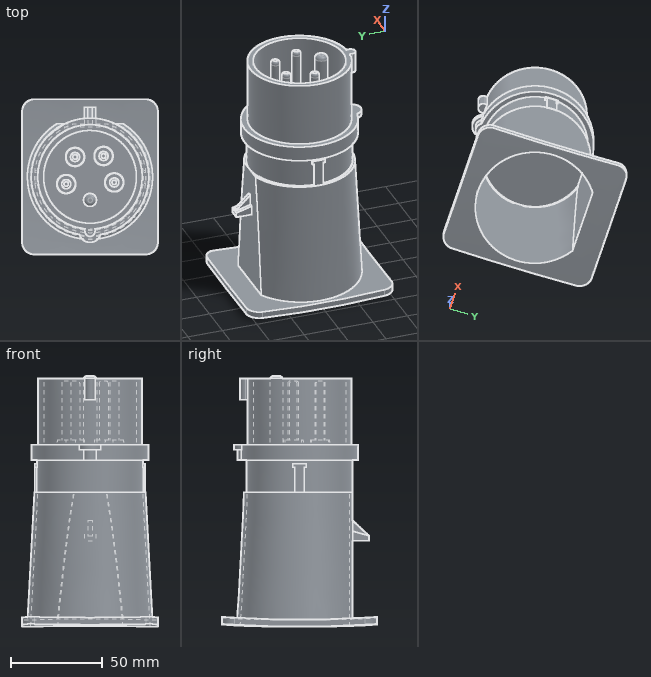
import cadquery as cq
import math

EARTH_PIN_TOP = 136.6
SHROUD_TOP = 135.2
PHASE_PIN_TOP = 134.0
COLLAR_TOP = 99.2
COLLAR_BOTTOM = 90.7
HOUSING_TOP = 73.3
SOCKET_FLOOR = COLLAR_TOP

FLANGE_X = 74.0
FLANGE_Y = 84.5
FLANGE_CORNER_RADIUS = 6.8
FLANGE_THICKNESS = 3.8
DISH_RADIUS_X = 1365.8
DISH_RADIUS_Y = 546.3

TOWER_BASE_RADIUS = 34.3
TOWER_TOP_RADIUS = 30.3
TOWER_WALL = 1.8
TOWER_FOOT = 2.7
NECK_RADIUS = 29.0
TOWER_FLAT_Y = NECK_RADIUS

HOOK_WIDTH = 6.3
HOOK_RIB_WIDTH = 2.3
HOOK_TIP_Y = 37.8
HOOK_BOTTOM = 46.8
HOOK_TIP_TOP = 49.6
HOOK_SIDE_ROOT_TOP = 52.0
HOOK_RIB_ROOT_TOP = 57.9

SHROUD_RADIUS = 28.4
SHROUD_INNER_RADIUS = 25.3
COLLAR_RADIUS = 32.0

LUG_CENTRE_Y = -29.6
KEY_RADIUS = 2.7
KEY_BOTTOM = 123.5
TAB_RADIUS = 6.0
TAB_BOTTOM = 96.3
STOP_RADIUS = 4.1

CLIP_FACE_X = 30.0
CLIP_STEM_WIDTH = 5.2
CLIP_HEAD_WIDTH = 7.2
CLIP_HEAD_TOP = 88.8
CLIP_HEAD_HEIGHT = 1.9

EARTH_PIN_RADIUS = 3.5
EARTH_PIN_Y = -12.5
PHASE_PIN_RADIUS = 2.5
PIN_CIRCLE_RADIUS = 13.5
PHASE_PIN_ANGLES = [-13, 57, 127, 197]
PIN_TIP_RADIUS = 1.2
PIN_ROUND_HEIGHT = 2.0
BOSS_BASE_RADIUS = 5.2
BOSS_TOP_RADIUS = 4.9
BOSS_HEIGHT = 2.7


def cylinder(radius, bottom, top):
    return cq.Workplane("XY").workplane(offset=bottom).circle(radius).extrude(top - bottom)


def cone(bottom_radius, top_radius, bottom, top):
    solid = cq.Solid.makeCone(bottom_radius, top_radius, top - bottom, pnt=cq.Vector(0, 0, bottom))
    return cq.Workplane("XY").add(solid)


def centred_box(x_size, y_size, bottom, top):
    return cq.Workplane("XY").workplane(offset=bottom).rect(x_size, y_size).extrude(top - bottom)


def arc_sag(radius, half_chord):
    """Depth of an arc of the given radius over the given half chord."""
    return radius - math.sqrt(radius**2 - half_chord**2)


def dished_flange():
    """Rounded rectangular plate, curved like a shallow barrel with its lowest point in the middle."""
    half_x = FLANGE_X / 2
    edge_rise = arc_sag(DISH_RADIUS_X, half_x)
    bottom = -arc_sag(DISH_RADIUS_X, TOWER_BASE_RADIUS - TOWER_WALL)
    top = bottom + FLANGE_THICKNESS
    sweep = 2 * math.degrees(math.asin(FLANGE_Y / DISH_RADIUS_Y))
    axis_z = bottom + DISH_RADIUS_Y
    barrel = (
        cq.Workplane("XZ")
        .moveTo(-half_x, bottom + edge_rise)
        .threePointArc((0, bottom), (half_x, bottom + edge_rise))
        .lineTo(half_x, top + edge_rise)
        .threePointArc((0, top), (-half_x, top + edge_rise))
        .close()
        .revolve(sweep, (0, axis_z), (1, axis_z))
        .rotate((0, 0, axis_z), (1, 0, axis_z), -sweep / 2)
    )
    outline = centred_box(FLANGE_X, FLANGE_Y, bottom, 3 * FLANGE_THICKNESS)
    return barrel.intersect(outline.edges("|Z").fillet(FLANGE_CORNER_RADIUS))


def tower_shape(inset, bottom, top):
    """Tapered round tower with a flat back, its whole surface moved inward by inset."""
    def radius_at(z):
        taper = (TOWER_TOP_RADIUS - TOWER_BASE_RADIUS) / HOUSING_TOP
        return TOWER_BASE_RADIUS + taper * z - inset

    flat_y = TOWER_FLAT_Y - inset
    trim_size = 3 * TOWER_BASE_RADIUS
    keep = centred_box(trim_size, trim_size, bottom, top).translate((0, flat_y - trim_size / 2, 0))
    return cone(radius_at(bottom), radius_at(top), bottom, top).intersect(keep)


def hook_plate(width, root_top):
    root_y = TOWER_FLAT_Y - TOWER_WALL / 2
    slope = (root_top - HOOK_TIP_TOP) / (HOOK_TIP_Y - TOWER_FLAT_Y)
    profile = [
        (root_y, HOOK_BOTTOM),
        (HOOK_TIP_Y, HOOK_BOTTOM),
        (HOOK_TIP_Y, HOOK_TIP_TOP),
        (root_y, HOOK_TIP_TOP + slope * (HOOK_TIP_Y - root_y)),
    ]
    return cq.Workplane("YZ").polyline(profile).close().extrude(width / 2, both=True)


def latch_hook():
    sides = hook_plate(HOOK_WIDTH, HOOK_SIDE_ROOT_TOP)
    rib = hook_plate(HOOK_RIB_WIDTH, HOOK_RIB_ROOT_TOP)
    return sides.union(rib)


def make_housing():
    overshoot = 1.4
    cavity = tower_shape(TOWER_WALL, -overshoot, HOUSING_TOP + overshoot)
    return (
        dished_flange()
        .union(tower_shape(0, TOWER_FOOT, HOUSING_TOP))
        .union(latch_hook())
        .cut(cavity)
    )


def front_lug(nose_radius, bottom, top):
    """Straight-sided lug with a half-round nose, running from inside the shell wall to the front."""
    root_y = -(SHROUD_INNER_RADIUS + SHROUD_RADIUS) / 2
    nose = cylinder(nose_radius, bottom, top).translate((0, LUG_CENTRE_Y, 0))
    stem_length = root_y - LUG_CENTRE_Y
    stem = centred_box(2 * nose_radius, stem_length, bottom, top)
    return nose.union(stem.translate((0, LUG_CENTRE_Y + stem_length / 2, 0)))


def side_clips():
    """Stem and head bars that pass through the neck, so that a T stands out on each side."""
    head_bottom = CLIP_HEAD_TOP - CLIP_HEAD_HEIGHT
    stem = centred_box(2 * CLIP_FACE_X, CLIP_STEM_WIDTH, HOUSING_TOP, head_bottom)
    head = centred_box(2 * CLIP_FACE_X, CLIP_HEAD_WIDTH, head_bottom, CLIP_HEAD_TOP)
    return stem.union(head)


def plug_shell():
    recess = cylinder(SHROUD_INNER_RADIUS, SOCKET_FLOOR, SHROUD_TOP)
    return (
        cylinder(NECK_RADIUS, HOUSING_TOP, COLLAR_BOTTOM)
        .union(cylinder(COLLAR_RADIUS, COLLAR_BOTTOM, COLLAR_TOP))
        .union(cylinder(SHROUD_RADIUS, COLLAR_TOP, SHROUD_TOP))
        .union(front_lug(KEY_RADIUS, KEY_BOTTOM, SHROUD_TOP))
        .union(front_lug(TAB_RADIUS, TAB_BOTTOM, COLLAR_TOP))
        .union(front_lug(STOP_RADIUS, COLLAR_BOTTOM, TAB_BOTTOM))
        .union(side_clips())
        .cut(recess)
    )


def contact_pin(radius, top, x, y):
    """Round pin standing on the socket floor, with an elliptical dome down from its flat tip."""
    dome_bottom = top - PIN_ROUND_HEIGHT
    diagonal = math.sqrt(0.5)
    dome_middle = (
        PIN_TIP_RADIUS + diagonal * (radius - PIN_TIP_RADIUS),
        dome_bottom + diagonal * PIN_ROUND_HEIGHT,
    )
    return (
        cq.Workplane("XZ")
        .moveTo(0, SOCKET_FLOOR)
        .lineTo(radius, SOCKET_FLOOR)
        .lineTo(radius, dome_bottom)
        .threePointArc(dome_middle, (PIN_TIP_RADIUS, top))
        .lineTo(0, top)
        .close()
        .revolve(360, (0, 0), (0, 1))
        .translate((x, y, 0))
    )


def make_plug():
    plug = plug_shell().union(contact_pin(EARTH_PIN_RADIUS, EARTH_PIN_TOP, 0, EARTH_PIN_Y))
    for angle in PHASE_PIN_ANGLES:
        x = PIN_CIRCLE_RADIUS * math.cos(math.radians(angle))
        y = PIN_CIRCLE_RADIUS * math.sin(math.radians(angle))
        boss = cone(BOSS_BASE_RADIUS, BOSS_TOP_RADIUS, SOCKET_FLOOR, SOCKET_FLOOR + BOSS_HEIGHT)
        plug = plug.union(boss.translate((x, y, 0)))
        plug = plug.union(contact_pin(PHASE_PIN_RADIUS, PHASE_PIN_TOP, x, y))
    return plug


housing = make_housing()
plug = make_plug()

result = cq.Compound.makeCompound([*housing.solids().vals(), *plug.solids().vals()])